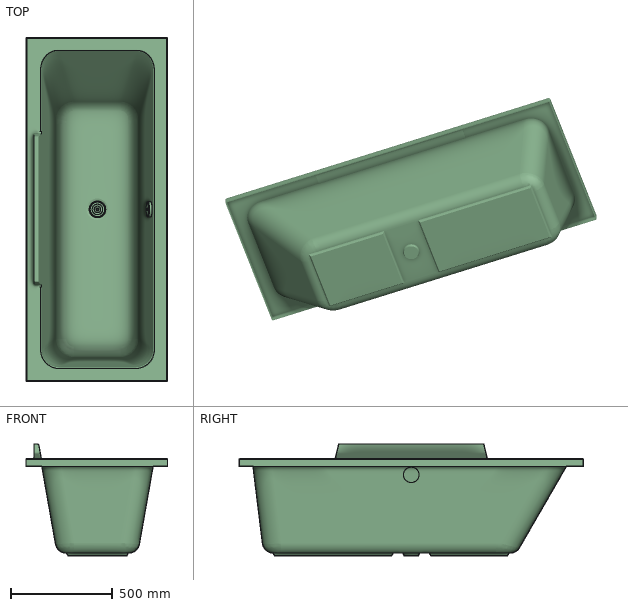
import cadquery as cq
import math

tub_width = 701.01
tub_length = 1700.41
tub_depth = 480.0
upstand_height = 72.5
sheet = 5.0

edge_clearance = 1.0

rim_height = 38.0
rim_corner_radius = 8.0
rim_edge_radius = 5.0
lip_radius = 8.0

basin_center_x = 3.5
basin_half_width = 277.0
basin_back_y = 783.0
basin_foot_y = -782.0
side_angle = 10.0
back_angle = 30.0
foot_angle = 7.0
basin_depth = 462.0
basin_corner_radius = 90.0
basin_floor_radius = 52.0
floor_underside_z = -basin_depth - sheet

upstand_outer_x = -310.0
upstand_base_half_length = 376.0
upstand_end_angle = 13.5
upstand_corner_radius = 8.0
upstand_outer_edge_radius = 3.0
upstand_inner_edge_radius = 8.0
upstand_flare_radius = 8.0
upstand_foot_margin = 12.0

drain_recess_top_diameter = 105.0
drain_recess_diameter = 82.0
drain_recess_depth = 3.0
drain_boss_diameter = 72.0
drain_hole_diameter = 52.0
drain_flange_diameter = 72.0
drain_bore_diameter = 32.0
drain_bore_depth = 10.0
recess_z = -basin_depth - drain_recess_depth
bore_z = -basin_depth - drain_bore_depth
screw_diameter = 14.5
screw_socket_diameter = 9.2
screw_socket_depth = 5.0

pad_half_width = 153.0
pad_back_y = 483.0
pad_foot_y = -683.0
pad_gap_half = 89.0
pad_taper = 8.0

overflow_z = -80.0
rosette_diameter = 77.0
rosette_thickness = 13.0
knob_diameter = 72.0
knob_thickness = 3.5
knob_hole_diameter = 13.0
knob_hole_depth = 2.0


def slope(angle):
    return math.tan(math.radians(angle))


def between_levels(bottom_z, bottom, top_z, top):
    """Solid between two rectangles, each given as (x_min, x_max, y_min, y_max)."""

    def corners(z, limits):
        x_min, x_max, y_min, y_max = limits
        return [
            cq.Vector(x_min, y_min, z),
            cq.Vector(x_max, y_min, z),
            cq.Vector(x_max, y_max, z),
            cq.Vector(x_min, y_max, z),
        ]

    def flat_face(points):
        return cq.Face.makeFromWires(cq.Wire.makePolygon(points, close=True))

    low = corners(bottom_z, bottom)
    high = corners(top_z, top)
    faces = [flat_face(low), flat_face(high)]
    for i in range(len(low)):
        faces.append(flat_face([low[i - 1], low[i], high[i], high[i - 1]]))
    return cq.Workplane(cq.Solid.makeSolid(cq.Shell.makeShell(faces)).fix())


def basin_limits(z, wall):
    """Wall positions at height z, moved outwards by the thickness wall, square to each wall."""

    def reach(distance, angle):
        return distance + z * slope(angle) + wall / math.cos(math.radians(angle))

    half_width = reach(basin_half_width, side_angle)
    return (
        basin_center_x - half_width,
        basin_center_x + half_width,
        -reach(-basin_foot_y, foot_angle),
        reach(basin_back_y, back_angle),
    )


def basin_form(wall):
    """Sloping basin volume with rounded corners, grown by the thickness wall."""
    bottom_z = -basin_depth - wall
    form = between_levels(bottom_z, basin_limits(bottom_z, wall), 0, basin_limits(0, wall))
    form = form.edges("not(#Z)").fillet(basin_corner_radius + wall)
    return form.faces("<Z").edges().fillet(basin_floor_radius + wall)


def edges_at_rim_level(x_min, x_max, y_min, y_max):
    """Selector for the edges on top of the rim whose centres lie within the limits."""
    return cq.selectors.BoxSelector((x_min, y_min, -edge_clearance), (x_max, y_max, edge_clearance))


def make_rim():
    rim = cq.Workplane().box(tub_width, tub_length, rim_height, centered=(True, True, False))
    rim = rim.translate((0, 0, -rim_height))
    rim = rim.edges("|Z").fillet(rim_corner_radius).faces(">Z").edges().fillet(rim_edge_radius)
    hollow = cq.Workplane().box(
        tub_width - 2 * sheet, tub_length - 2 * sheet, rim_height, centered=(True, True, False)
    )
    hollow = hollow.edges("|Z").fillet(rim_corner_radius - sheet)
    return rim.cut(hollow.translate((0, 0, -rim_height - sheet)))


def make_upstand():
    """Block whose inner face continues the plane of the basin wall, flaring out at its base."""
    base_z = -lip_radius
    foot_half_length = upstand_base_half_length + upstand_flare_radius
    foot_outer_x = upstand_outer_x - upstand_foot_margin

    def block_limits(z):
        half_length = upstand_base_half_length - z * slope(upstand_end_angle)
        return (upstand_outer_x, basin_limits(z, 0)[0], -half_length, half_length)

    def foot_limits(z):
        half_length = foot_half_length + upstand_foot_margin
        return (foot_outer_x, basin_limits(z, 0)[0], -half_length, half_length)

    block = between_levels(base_z, block_limits(base_z), upstand_height, block_limits(upstand_height))
    block = block.faces("<X").edges("not(|Y)").fillet(upstand_corner_radius)
    block = block.faces(">Z").edges(">X").fillet(upstand_inner_edge_radius)
    block = block.faces(">Z").edges("not(>X)").fillet(upstand_outer_edge_radius)
    foot = between_levels(base_z, foot_limits(base_z), 0, foot_limits(0))
    upstand = block.union(foot)
    base_edges = edges_at_rim_level(
        upstand_outer_x - edge_clearance,
        basin_limits(0, 0)[0] - edge_clearance,
        -upstand_base_half_length - edge_clearance,
        upstand_base_half_length + edge_clearance,
    )
    upstand = upstand.edges(base_edges).fillet(upstand_flare_radius)
    trim = cq.Workplane().box(tub_width, 2 * foot_half_length, 2 * upstand_height)
    return upstand.intersect(trim.translate((0, 0, upstand_height - lip_radius)))


def cone(bottom_z, bottom_diameter, top_z, top_diameter):
    solid = cq.Solid.makeCone(
        bottom_diameter / 2, top_diameter / 2, top_z - bottom_z, cq.Vector(basin_center_x, 0, bottom_z)
    )
    return cq.Workplane(solid)


def cylinder(bottom_z, top_z, diameter):
    solid = cq.Solid.makeCylinder(diameter / 2, top_z - bottom_z, cq.Vector(basin_center_x, 0, bottom_z))
    return cq.Workplane(solid)


def make_pad(y_min, y_max):
    """Tapered pad between the floor and the lowest level of the tub."""
    x_min = basin_center_x - pad_half_width
    x_max = basin_center_x + pad_half_width
    top = (x_min, x_max, y_min, y_max)
    bottom = (x_min + pad_taper, x_max - pad_taper, y_min + pad_taper, y_max - pad_taper)
    return between_levels(-tub_depth, bottom, floor_underside_z, top)


def make_tub():
    tub = make_rim().union(basin_form(sheet))
    tub = tub.cut(basin_form(0))
    x_min, x_max, y_min, y_max = basin_limits(0, edge_clearance)
    tub = tub.edges(edges_at_rim_level(x_min, x_max, y_min, y_max)).fillet(lip_radius)
    tub = tub.union(make_upstand())
    for y_min, y_max in [(pad_gap_half, pad_back_y), (pad_foot_y, -pad_gap_half)]:
        tub = tub.union(make_pad(y_min, y_max))
    tub = tub.union(cone(-tub_depth, drain_boss_diameter, floor_underside_z, drain_recess_diameter))
    tub = tub.cut(cone(recess_z, drain_recess_diameter, -basin_depth, drain_recess_top_diameter))
    return tub.cut(cylinder(-tub_depth, recess_z, drain_hole_diameter))


def make_drain_flange():
    flange = cylinder(recess_z, -basin_depth, drain_flange_diameter)
    flange = flange.union(cylinder(-tub_depth, recess_z, drain_hole_diameter))
    return flange.cut(cylinder(bore_z, -basin_depth, drain_bore_diameter))


def make_drain_insert():
    insert = cylinder(bore_z, -basin_depth, drain_bore_diameter)
    return insert.cut(cylinder(bore_z, -basin_depth, screw_diameter))


def make_drain_screw():
    screw = cylinder(bore_z, -basin_depth, screw_diameter)
    return screw.cut(cylinder(-basin_depth - screw_socket_depth, -basin_depth, screw_socket_diameter))


def overflow_disc(diameter, start, thickness):
    """Disc facing the basin, its back at the distance start from the sloping wall."""
    wall_x = basin_limits(overflow_z, 0)[1]
    tilt = math.radians(side_angle)
    plane = cq.Plane((wall_x, 0, overflow_z), xDir=(0, 1, 0), normal=(-math.cos(tilt), 0, math.sin(tilt)))
    return cq.Workplane(plane).workplane(offset=start).circle(diameter / 2).extrude(thickness)


def make_overflow_rosette():
    return overflow_disc(rosette_diameter, 0, rosette_thickness)


def make_overflow_knob():
    knob = overflow_disc(knob_diameter, rosette_thickness, knob_thickness)
    hole_start = rosette_thickness + knob_thickness - knob_hole_depth
    return knob.cut(overflow_disc(knob_hole_diameter, hole_start, knob_hole_depth))


tub = make_tub()
drain_flange = make_drain_flange()
drain_insert = make_drain_insert()
drain_screw = make_drain_screw()
overflow_rosette = make_overflow_rosette()
overflow_knob = make_overflow_knob()

bodies = [tub, drain_flange, drain_insert, drain_screw, overflow_rosette, overflow_knob]
result = cq.Compound.makeCompound([body.solids().val() for body in bodies])